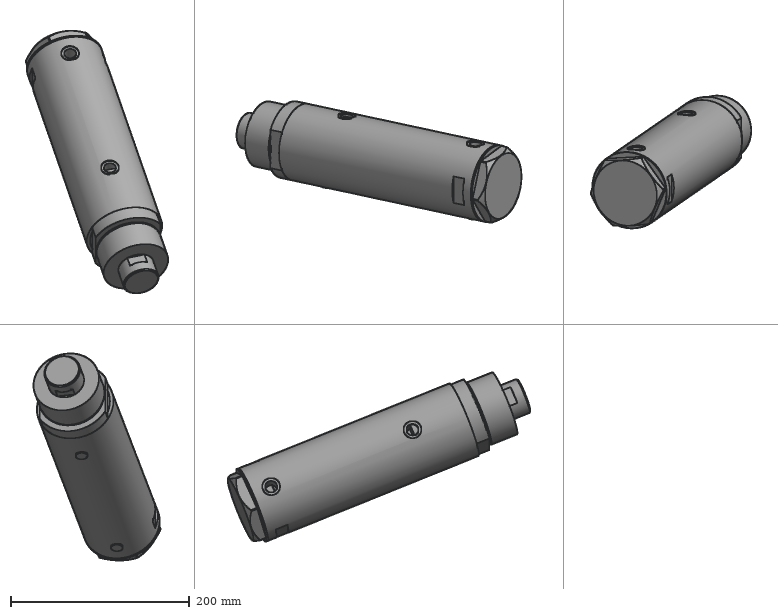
import cadquery as cq
import math

overall_length = 344.5

hex_end = 13.0
housing_start = 15.0
cap_spigot_end = 41.0
gland_start = 209.0
housing_end = 271.5
flange_end = 287.0
nose_start = 288.5
nose_end = 321.0
rod_flats_end = 332.5

housing_diameter = 88.0
housing_radius = housing_diameter / 2
rear_bore_radius = 26.0
front_bore_radius = 40.0
wrench_flat_start = 25.5
wrench_flat_end = 40.0
wrench_flat_gap = 82.0

rear_port_x = 37.2
port_positions = [rear_port_x, gland_start]
port_diameter = 13.5
port_face_diameter = 20.0
port_face_depth = 1.5

pad_positions = [39.0, 235.3]
pad_diameter = 13.5
pad_height = 1.5

hex_across_flats = 75.8
hex_corner_radius = 43.5
cap_face_radius = 37.5
cap_turn = 7.5

nose_radius = 37.5
neck_radius = 36.5
nose_chamfer = 1.0

rod_diameter = 41.0
rod_radius = rod_diameter / 2
rod_flat_gap = 35.8
rod_chamfer = 1.5


def cylinder(start, end, radius):
    """Cylinder along X from start to end."""
    return cq.Workplane("YZ", origin=(start, 0, 0)).circle(radius).extrude(end - start)


def slab(start, end, size_y, size_z):
    """Box centred on the axis from start to end."""
    return cq.Workplane("XY").box(end - start, size_y, size_z).translate(((start + end) / 2, 0, 0))


def upright_cylinder(x, diameter, bottom, top):
    """Cylinder along Z, standing at x on the XZ plane."""
    return cq.Workplane("XY", origin=(x, 0, bottom)).circle(diameter / 2).extrude(top - bottom)


def outside_of_flats(start, end, radius, gap_y, gap_z):
    """Material of a cylinder that lies beyond a slab of the given size."""
    return cylinder(start, end, radius).cut(slab(start, end, gap_y, gap_z))


def make_housing():
    """Tube with a stepped bore, two top ports, two bottom pads and two wrench flats."""
    body = cylinder(housing_start, housing_end, housing_radius)
    for x in pad_positions:
        body = body.union(upright_cylinder(x, pad_diameter, -housing_radius - pad_height, 0))
    body = body.cut(cylinder(housing_start, gland_start, rear_bore_radius))
    body = body.cut(cylinder(gland_start, housing_end, front_bore_radius))
    port_face_level = housing_radius - port_face_depth
    for x in port_positions:
        body = body.cut(upright_cylinder(x, port_diameter, 0, housing_radius))
        body = body.cut(upright_cylinder(x, port_face_diameter, port_face_level, housing_radius))
    clear = 2 * housing_radius
    return body.cut(outside_of_flats(wrench_flat_start, wrench_flat_end, clear, wrench_flat_gap, 2 * clear))


def make_cap():
    """Turned hexagon head with a flange and a spigot that plugs the rear bore."""
    hex_circumdiameter = hex_across_flats / math.cos(math.pi / 6)
    hexagon = cq.Workplane("YZ").polygon(6, hex_circumdiameter).extrude(hex_end)
    corner_chamfer = hex_corner_radius - cap_face_radius
    turned = cylinder(0, hex_end, hex_corner_radius).faces("<X").chamfer(corner_chamfer)
    cap = hexagon.intersect(turned)
    cap = cap.union(cylinder(hex_end, housing_start, housing_radius))
    cap = cap.union(cylinder(housing_start, cap_spigot_end, rear_bore_radius))
    return cap.rotate((0, 0, 0), (1, 0, 0), -cap_turn)


def make_gland():
    """Front guide: inner spigot, flange with two flats, neck and nose, bored for the rod."""
    flange = cylinder(housing_end, flange_end, housing_radius)
    flange = flange.intersect(slab(housing_end, flange_end, 2 * nose_radius, 2 * housing_radius))
    nose = cylinder(nose_start, nose_end, nose_radius).faces("<X").chamfer(nose_chamfer)
    gland = cylinder(gland_start, housing_end, front_bore_radius)
    gland = gland.union(flange)
    gland = gland.union(cylinder(flange_end, nose_start, neck_radius))
    gland = gland.union(nose)
    return gland.cut(cylinder(gland_start, nose_end, rod_radius))


def make_rod():
    """Rod with two flats just outside the nose."""
    rod = cylinder(cap_spigot_end, overall_length, rod_radius).faces(">X").chamfer(rod_chamfer)
    clear = 2 * rod_radius
    return rod.cut(outside_of_flats(nose_end, rod_flats_end, clear, 2 * clear, rod_flat_gap))


housing = make_housing()
cap = make_cap()
gland = make_gland()
rod = make_rod()

result = cq.Compound.makeCompound([housing.val(), cap.val(), gland.val(), rod.val()])